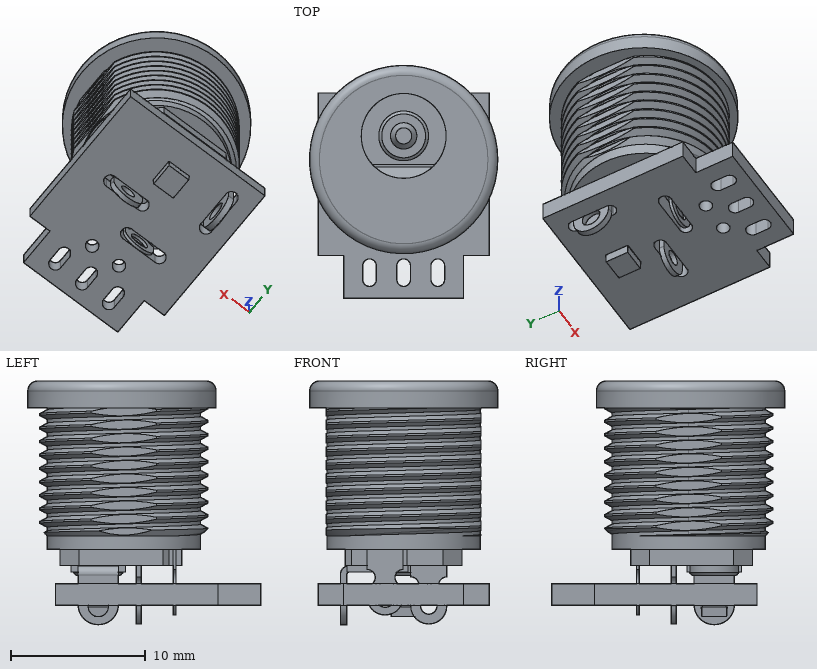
import cadquery as cq

total_height = 18.1
total_depth = 17.3

flange_diameter = 14.0
flange_height = 2.0
flange_rounding = 0.75
flange_bottom = total_height - flange_height
barrel_diameter = 11.4
barrel_y = -0.15
barrel_bottom = 5.6
thread_bottom = 6.6
thread_diameter = 12.49
thread_turns = 9.5
thread_pitch = (flange_bottom - thread_bottom) / thread_turns
thread_crest_width = 0.15
thread_root_width = 0.83
thread_embed = 0.09
thread_overrun_turns = 2
thread_clearance = 0.18
thread_phase = 0.75
thread_flats = 11.51

socket_y = 1.75
socket_diameter = 6.3
socket_floor = 9.05
pin_diameter = 1.95
pin_tip_diameter = 1.2
pin_tip_taper = 0.72
pin_top = 16.9
pin_base_diameter = 3.7
pin_base_chamfer = 0.22
pin_base_top = 9.95
spring_face_y = -0.38
spring_thickness = 0.16
spring_top = 10.86
spring_flare_rise = 0.29

block_bottom = 4.4
block_half_width = 4.35
block_back = 4.6
block_front = -4.45
block_chamfer = 1.41
block_notch_y = -3.51
block_notch_x = 0.25

sheet_thickness = 0.49
plate_width = 4.05
plate_right = 0.33
strap_left = -4.7
strap_width = 3.0
strap_hole_diameter = 1.5
strap_hole_z = 1.35
bend_inner_radius = 0.2
rivet_bottom = 3.65

lug_width = 2.68
neck_cut_diameter = 1.2
sleeve_lug_x = 1.86
sleeve_lug_y = -1.25
sleeve_lug_thickness = 0.4
sleeve_lug_eye_z = 1.4
sleeve_lug_neck_z = 2.95
sleeve_lug_hole = 1.2
switch_lug_x = -1.38
switch_lug_y = -3.91
switch_lug_thickness = 0.24
switch_lug_eye_z = 2.06
switch_lug_neck_z = 3.51
switch_lug_hole = 1.5

board_bottom = 1.45
board_thickness = 1.61
board_width = 12.7
board_back = 4.95
board_shoulder = -7.13
board_front = flange_diameter / 2 - total_depth
board_tab_width = 8.9
board_hole_diameter = 1.0
pad_pitch = 2.53
pad_slot_length = 2.03
pad_slot_y = -8.4
round_hole_y = -6.12
terminal_slot_length = 4.02
strap_slot_x = -4.49
switch_slot_x = -1.7
switch_slot_y = -3.75

component_bottom = 0.6
component_length = 1.85
component_y = socket_y
component_draft = 4
component_top = 1.32
component_seat_length = 1.74


def disc(diameter, bottom, top, y):
    """Upright cylinder on X = 0."""
    return cq.Workplane("XY", origin=(0, y, bottom)).circle(diameter / 2).extrude(top - bottom)


def make_thread():
    """Right-hand ridge around the barrel, with a conical start and flats on both X sides."""
    inner = barrel_diameter / 2 - thread_embed
    outer = thread_diameter / 2
    start = thread_bottom - thread_overrun_turns * thread_pitch + thread_phase
    turns_height = (thread_turns + 2 * thread_overrun_turns) * thread_pitch
    helix = cq.Wire.makeHelix(thread_pitch, turns_height, inner)
    ridge = (
        cq.Workplane("XZ")
        .polyline([
            (inner, -thread_root_width / 2),
            (outer, -thread_crest_width / 2),
            (outer, thread_crest_width / 2),
            (inner, thread_root_width / 2),
        ])
        .close()
        .sweep(cq.Workplane(helix), isFrenet=True)
        .translate((0, barrel_y, start))
    )
    lead_in = thread_clearance + (thread_diameter - barrel_diameter) / 2
    envelope = disc(thread_diameter + 2 * thread_clearance, thread_bottom, flange_bottom, barrel_y)
    envelope = envelope.faces("<Z").edges().chamfer(lead_in)
    flats = (
        cq.Workplane("XY", origin=(0, barrel_y, thread_bottom))
        .rect(thread_flats, 2 * thread_diameter)
        .extrude(flange_bottom - thread_bottom)
    )
    envelope = envelope.intersect(flats)
    return ridge.intersect(envelope)


def make_shell():
    """Rounded flange, threaded barrel and open socket."""
    flange = disc(flange_diameter, flange_bottom, total_height, 0)
    flange = flange.faces(">Z").edges().fillet(flange_rounding)
    barrel = disc(barrel_diameter, barrel_bottom, flange_bottom, barrel_y)
    shell = barrel.union(make_thread()).union(flange)
    return shell.cut(disc(socket_diameter, socket_floor, total_height, socket_y))


def make_pin():
    """Centre pin with a tapered tip on a chamfered base."""
    base = disc(pin_base_diameter, socket_floor, pin_base_top, socket_y)
    base = base.faces(">Z").edges().chamfer(pin_base_chamfer)
    pin = disc(pin_diameter, socket_floor, pin_top, socket_y)
    tip_inset = (pin_diameter - pin_tip_diameter) / 2
    pin = pin.faces(">Z").edges().chamfer(pin_tip_taper, tip_inset)
    return base.union(pin)


def make_spring():
    """Sleeve spring: a segment of the socket with a narrow flat top that flares upward at the back."""
    socket_front = socket_y - socket_diameter / 2
    edge_y = spring_face_y - spring_thickness
    wedge = (
        cq.Workplane("YZ", origin=(-socket_diameter / 2, 0, 0))
        .moveTo(spring_face_y, socket_floor)
        .lineTo(spring_face_y, spring_top)
        .lineTo(edge_y, spring_top)
        .lineTo(socket_front, spring_top + spring_flare_rise)
        .lineTo(socket_front, socket_floor)
        .close()
        .extrude(socket_diameter)
    )
    return wedge.intersect(disc(socket_diameter, socket_floor, total_height, socket_y))


def make_base_block():
    """Block with chamfered corners and a notch for the switch lug."""
    depth = block_back - block_front
    height = barrel_bottom - block_bottom
    block = (
        cq.Workplane("XY", origin=(0, (block_back + block_front) / 2, block_bottom))
        .rect(2 * block_half_width, depth)
        .extrude(height)
        .edges("|Z")
        .chamfer(block_chamfer)
    )
    notch = cq.Workplane("XY").box(
        block_half_width + block_notch_x, block_notch_y - block_front, height, centered=False
    )
    return block.cut(notch.translate((-block_half_width, block_front, block_bottom)))


def make_pin_contact():
    """Plate under the base block, bent down into a round-ended strap, and the pin's rivet head."""
    bend_outer_radius = bend_inner_radius + sheet_thickness
    plate_left = strap_left + bend_outer_radius
    plate_bottom = block_bottom - sheet_thickness
    eye_z = strap_width / 2
    bend_z = block_bottom - bend_outer_radius
    strap_right = strap_left + sheet_thickness

    plate = cq.Workplane("XY").box(
        plate_right - plate_left + bend_inner_radius, plate_width, sheet_thickness, centered=False
    )
    plate = plate.translate((plate_left - bend_inner_radius, socket_y - plate_width / 2, plate_bottom))
    strap = (
        cq.Workplane("XZ", origin=(0, socket_y + strap_width / 2, 0))
        .moveTo(strap_left, eye_z)
        .lineTo(strap_left, bend_z)
        .radiusArc((plate_left, block_bottom), bend_outer_radius)
        .lineTo(plate_left, plate_bottom)
        .radiusArc((strap_right, bend_z), -bend_inner_radius)
        .lineTo(strap_right, eye_z)
        .close()
        .extrude(strap_width)
    )
    eye_plane = cq.Workplane("YZ", origin=(strap_left, socket_y, 0))
    eye = eye_plane.center(0, eye_z).circle(strap_width / 2).extrude(sheet_thickness)
    hole = eye_plane.center(0, strap_hole_z).circle(strap_hole_diameter / 2).extrude(sheet_thickness)
    rivet = disc(pin_base_diameter, rivet_bottom, block_bottom, socket_y)
    rivet = rivet.faces("<Z").edges().chamfer(pin_base_chamfer)
    return plate.union(strap).union(eye).cut(hole).union(rivet)


def make_lug(x, y, thickness, top, eye_z, neck_z, hole_diameter):
    """Flat terminal lug: straight shank, waisted neck and round eye with a hole."""
    plane = cq.Workplane("XZ", origin=(x, y + thickness / 2, 0))
    shank = plane.center(0, (top + eye_z) / 2).rect(lug_width, top - eye_z).extrude(thickness)
    eye = plane.center(0, eye_z).circle(lug_width / 2).extrude(thickness)
    neck_cuts = (
        plane.pushPoints([(-lug_width / 2, neck_z), (lug_width / 2, neck_z)])
        .circle(neck_cut_diameter / 2)
        .extrude(thickness)
    )
    hole = plane.center(0, eye_z).circle(hole_diameter / 2).extrude(thickness)
    return shank.union(eye).cut(neck_cuts).cut(hole)


def make_jack():
    """Complete jack: shell, pin, spring, base block and terminals."""
    sleeve_lug = make_lug(
        sleeve_lug_x, sleeve_lug_y, sleeve_lug_thickness, block_bottom,
        sleeve_lug_eye_z, sleeve_lug_neck_z, sleeve_lug_hole,
    )
    switch_lug = make_lug(
        switch_lug_x, switch_lug_y, switch_lug_thickness, barrel_bottom,
        switch_lug_eye_z, switch_lug_neck_z, switch_lug_hole,
    )
    jack = make_shell()
    pieces = [make_pin(), make_spring(), make_base_block(), make_pin_contact(), sleeve_lug, switch_lug]
    for piece in pieces:
        jack = jack.union(piece)
    return jack


def make_board():
    """Board with a narrower front tab, terminal slots, two round holes and three pad slots."""
    half_width = board_width / 2
    half_tab = board_tab_width / 2
    board = (
        cq.Workplane("XY", origin=(0, 0, board_bottom))
        .polyline([
            (-half_width, board_back),
            (-half_width, board_shoulder),
            (-half_tab, board_shoulder),
            (-half_tab, board_front),
            (half_tab, board_front),
            (half_tab, board_shoulder),
            (half_width, board_shoulder),
            (half_width, board_back),
        ])
        .close()
        .extrude(board_thickness)
    )
    plane = cq.Workplane("XY", origin=(0, 0, board_bottom))
    pad_slots = (
        plane.pushPoints([(i * pad_pitch, pad_slot_y) for i in (-1, 0, 1)])
        .slot2D(pad_slot_length, board_hole_diameter, 90)
        .extrude(board_thickness)
    )
    round_holes = (
        plane.pushPoints([(side * pad_pitch / 2, round_hole_y) for side in (-1, 1)])
        .circle(board_hole_diameter / 2)
        .extrude(board_thickness)
    )
    strap_slot = (
        plane.center(strap_slot_x, socket_y)
        .slot2D(terminal_slot_length, board_hole_diameter, 90)
        .extrude(board_thickness)
    )
    lug_slots = (
        plane.pushPoints([(switch_slot_x, switch_slot_y), (sleeve_lug_x, sleeve_lug_y)])
        .slot2D(terminal_slot_length, board_hole_diameter)
        .extrude(board_thickness)
    )
    for opening in (pad_slots, round_holes, strap_slot, lug_slots):
        board = board.cut(opening)
    return board


def make_component():
    """Square package tapering downward, on a small seat against the board."""
    package = (
        cq.Workplane("XY", origin=(0, component_y, component_bottom))
        .rect(component_length, component_length)
        .extrude(component_top - component_bottom, taper=-component_draft)
    )
    seat = (
        cq.Workplane("XY", origin=(0, component_y, component_top))
        .rect(component_seat_length, component_seat_length)
        .extrude(board_bottom - component_top)
    )
    return package.union(seat)


jack = make_jack()
board = make_board()
component = make_component()

result = cq.Compound.makeCompound([jack.solids().val(), board.solids().val(), component.solids().val()])